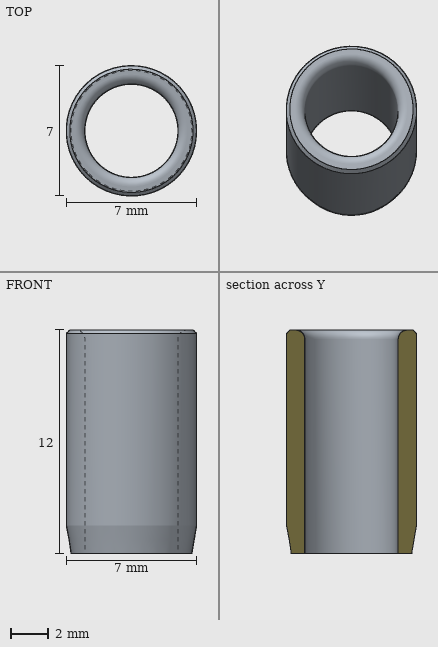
import cadquery as cq

height = 12.0
outer_diameter = 7.0
outer_radius = outer_diameter / 2
bore_radius = 2.5

top_chamfer = 0.19
bore_round = 0.5
taper_height = 1.5
tip_radius = 3.24


def make_body():
    """Solid of revolution: tapered tip, straight barrel and chamfered top."""
    return (
        cq.Workplane("XZ")
        .moveTo(0, 0)
        .lineTo(tip_radius, 0)
        .lineTo(outer_radius, taper_height)
        .lineTo(outer_radius, height - top_chamfer)
        .lineTo(outer_radius - top_chamfer, height)
        .lineTo(0, height)
        .close()
        .revolve(360, (0, 0, 0), (0, 1, 0))
    )


def make_bore():
    """Through bore that flares out in a convex round at the top rim."""
    return (
        cq.Workplane("XZ")
        .moveTo(0, 0)
        .lineTo(bore_radius, 0)
        .lineTo(bore_radius, height - bore_round)
        .radiusArc((bore_radius + bore_round, height), bore_round)
        .lineTo(0, height)
        .close()
        .revolve(360, (0, 0, 0), (0, 1, 0))
    )


result = make_body().cut(make_bore())